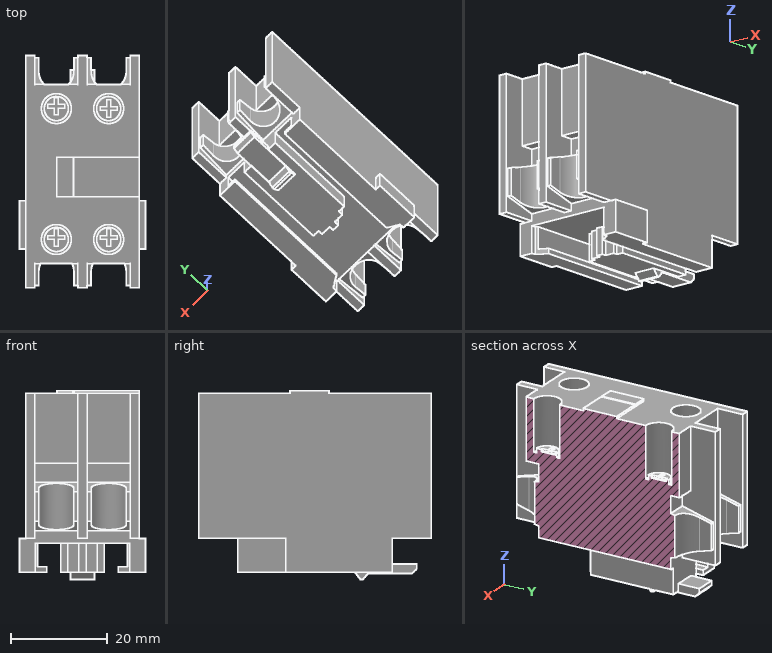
import cadquery as cq
import math


body_length = 48.0
body_width = 23.5
body_height = 30.0
wall = 1.9
bay_width = (body_width - 3 * wall) / 2
pole_x = (bay_width + wall) / 2
end_y = body_length / 2

front_bay_depth = 5.0
rear_bay_depth = 6.0
bay_back_depth = 8.0
upper_block_height = 14.5

guard_setback = 0.5
guard_low = 1.55
guard_high = 11.6
guard_angle = 15
guard_slope = math.tan(math.radians(guard_angle))
guard_run = bay_back_depth - guard_setback
scoop_radius = 3.6
scoop_centre_depth = 3.4

hole_diameter = 6.2
hole_depth = 12.0
head_diameter = 5.0
head_height = 1.0
cross_length = 3.55
cross_width = 0.75
cross_depth = 0.5
rear_screw_y = 13.0
front_screw_y = -14.0
screws = [
    (-1, rear_screw_y, 0.5),
    (1, rear_screw_y, 0.0),
    (-1, front_screw_y, 0.45),
    (1, front_screw_y, 0.45),
]

plate_left = -5.3
plate_front = -5.2
plate_width = 8.1
plate_thickness = 0.5
plate_groove_x = -1.85
plate_groove_width = 0.15
plate_groove_depth = 0.25

foot_length = body_length - 2 * bay_back_depth
foot_height = 7.0
foot_web = 1.05
tab_overall_width = 26.0
tab_length = 10.0
rail_wall_inside = 9.25
rail_lip_inside = 7.35
rail_lip_thickness = 1.15
lead_in_outside = 9.8
lead_in_setback = 1.0
lead_in_angle = 31
lead_in_slope = math.tan(math.radians(lead_in_angle))

block_widths = [9.05, 6.0, 1.55]
block_step = 1.0
block_front_y = -6.0

tongue_width = 5.0
tongue_end_y = 21.0
tongue_thickness = 2.0
tongue_chamfer = 1.0
tongue_drop = 0.3
catch_drop = 1.5
catch_rear_y = 10.95
catch_tip_rear_y = 9.9
catch_tip_front_y = 9.35
catch_front_y = 8.2


def box(x_min, x_max, y_min, y_max, z_min, z_max):
    """Box given by its limits along each axis."""
    size = (x_max - x_min, y_max - y_min, z_max - z_min)
    return cq.Workplane("XY").box(*size, centered=False).translate((x_min, y_min, z_min))


def make_bay(side, rear):
    """Space removed for one wiring bay; built at the front end and mirrored for the rear."""
    x_min = side * pole_x - bay_width / 2
    x_max = x_min + bay_width
    depth = rear_bay_depth if rear else front_bay_depth
    back_y = -end_y + bay_back_depth
    block_bottom = body_height - upper_block_height

    bay = box(x_min, x_max, -end_y, -end_y + depth, block_bottom, body_height)
    bay = bay.union(box(x_min, x_max, -end_y, back_y, 0, block_bottom))

    guard_front_y = -end_y + guard_setback
    rise = guard_run * guard_slope
    guard = (
        cq.Workplane("YZ")
        .polyline([
            (back_y, guard_low),
            (guard_front_y, guard_low + rise),
            (guard_front_y, guard_high - rise),
            (back_y, guard_high),
        ])
        .close()
        .extrude(bay_width)
        .translate((x_min, 0, 0))
    )

    scoop_y = -end_y + scoop_centre_depth
    scoop = (
        cq.Workplane("XY")
        .center(side * pole_x, scoop_y)
        .circle(scoop_radius)
        .extrude(block_bottom)
    )
    scoop = scoop.union(box(
        side * pole_x - scoop_radius, side * pole_x + scoop_radius, -end_y, scoop_y, 0, block_bottom
    ))
    bay = bay.cut(guard.cut(scoop))
    return bay.mirror("XZ") if rear else bay


def make_screw_hole(side, y, cross_shift):
    """Space removed above one screw, leaving the slotted screw head on the floor of the hole."""
    x = side * pole_x
    floor = body_height - hole_depth
    hole = cq.Workplane("XY", origin=(x, y, floor)).circle(hole_diameter / 2).extrude(hole_depth)
    head = cq.Workplane("XY", origin=(x, y, floor)).circle(head_diameter / 2).extrude(head_height)
    slot_origin = (x, y + cross_shift, floor + head_height - cross_depth)
    slots = cq.Workplane("XY", origin=slot_origin).rect(cross_length, cross_width).extrude(cross_depth)
    slots = slots.union(
        cq.Workplane("XY", origin=slot_origin).rect(cross_width, cross_length).extrude(cross_depth)
    )
    return hole.cut(head.cut(slots))


def make_label_plate():
    """Thin plate on the top face, divided by a fine groove."""
    plate_rear = plate_front + plate_width
    plate_top = body_height + plate_thickness
    plate = box(plate_left, body_width / 2, plate_front, plate_rear, body_height, plate_top)
    groove = box(
        plate_groove_x - plate_groove_width / 2, plate_groove_x + plate_groove_width / 2,
        plate_front, plate_rear, plate_top - plate_groove_depth, plate_top,
    )
    return plate.cut(groove)


def make_foot():
    """Foot under the body: two lipped rails with wider tabs at the front, open between."""
    half_length = foot_length / 2
    half_width = body_width / 2
    half_tabs = tab_overall_width / 2
    foot = box(-half_width, half_width, -half_length, half_length, -foot_height, 0)
    foot = foot.union(box(
        -half_tabs, half_tabs, -half_length, -half_length + tab_length, -foot_height, 0
    ))
    foot = foot.cut(box(
        -rail_wall_inside, rail_wall_inside, -half_length, half_length,
        -foot_height + rail_lip_thickness, -foot_web,
    ))
    foot = foot.cut(box(
        -rail_lip_inside, rail_lip_inside, -half_length, half_length,
        -foot_height, -foot_web,
    ))

    lead_in_start_y = -half_length + lead_in_setback
    lead_in_apex_y = lead_in_start_y + lead_in_outside * lead_in_slope
    lead_in = (
        cq.Workplane("XY", origin=(0, 0, -foot_height))
        .polyline([
            (-lead_in_outside, -half_length),
            (lead_in_outside, -half_length),
            (lead_in_outside, lead_in_start_y),
            (0, lead_in_apex_y),
            (-lead_in_outside, lead_in_start_y),
        ])
        .close()
        .extrude(foot_height - foot_web)
    )
    return foot.cut(lead_in)


def make_middle_block():
    """Stepped block between the rails, set back from the front of the foot."""
    block = cq.Workplane("XY")
    last_step = len(block_widths) - 1
    for step, width in enumerate(block_widths):
        front_y = block_front_y + (last_step - step) * block_step
        block = block.union(box(
            -width / 2, width / 2, front_y, foot_length / 2, -foot_height, -foot_web
        ))
    return block


def make_tongue():
    """Latch tongue reaching out behind the foot, with a pointed catch underneath."""
    bottom = -foot_height - tongue_drop
    top = bottom + tongue_thickness
    tip = -foot_height - catch_drop
    return (
        cq.Workplane("YZ")
        .polyline([
            (tongue_end_y, top),
            (tongue_end_y, bottom + tongue_chamfer),
            (tongue_end_y - tongue_chamfer, bottom),
            (catch_rear_y, bottom),
            (catch_tip_rear_y, tip),
            (catch_tip_front_y, tip),
            (catch_front_y, -foot_height),
            (catch_front_y, top),
        ])
        .close()
        .extrude(tongue_width / 2, both=True)
    )


result = box(-body_width / 2, body_width / 2, -end_y, end_y, 0, body_height)
for pole_side in (-1, 1):
    for at_rear in (False, True):
        result = result.cut(make_bay(pole_side, at_rear))
for pole_side, screw_y, slot_shift in screws:
    result = result.cut(make_screw_hole(pole_side, screw_y, slot_shift))
result = result.union(make_label_plate())
result = result.union(make_foot())
result = result.union(make_middle_block())
result = result.union(make_tongue())